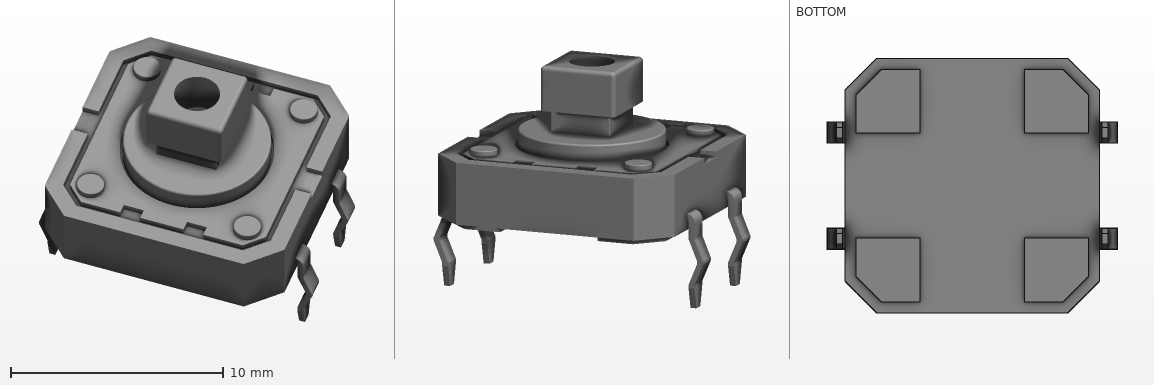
import cadquery as cq
import math


body_side = 12.0
body_height = 3.0
body_chamfer = 1.5
rim_width = 0.8
recess_depth = 0.3
rim_gap_width = 1.5

cover_clearance = 0.3
cover_hole_diameter = 7.28
cover_notch_width = 1.0
cover_notch_depth = 0.5
cover_notch_offset = 1.58

rivet_diameter = 1.3
rivet_offset = 3.92
rivet_top = 3.3
rivet_fillet = 0.05

disc_diameter = 7.0
disc_top = 3.77
disc_fillet = 0.1
neck_side = 3.0
neck_corner_radius = 0.05
cap_side = 3.8
cap_bottom = 4.85
cap_top = 7.0
cap_fillet = 0.2
cap_hole_diameter = 2.17

foot_inset = 0.53
foot_length = 3.0
foot_height = 0.3

pin_width = 1.0
pin_thickness = 0.3
pin_offset = 2.5
pin_root_top = 0.8
pin_bend_radius = 0.43
pin_outer_x = 6.4
pin_span = 13.67
pin_kink_start = -0.43
pin_kink_end = -2.63
pin_kink_flat = 0.13
pin_taper_start = -2.8
pin_tip_width = 0.5
pin_bottom = -3.8

half_body = body_side / 2
pin_reach = pin_span / 2
recess_floor = body_height - recess_depth


def inset_octagon(inset, bottom, height):
    """Prism with the housing outline moved inwards by the inset."""
    side = body_side - 2 * inset
    chamfer = body_chamfer - inset * (2 - math.sqrt(2))
    prism = cq.Workplane("XY").workplane(offset=bottom).rect(side, side).extrude(height)
    return prism.edges("|Z").chamfer(chamfer)


def centred_box(x_size, y_size, bottom, top):
    """Box centred on the Z axis between two heights."""
    return cq.Workplane("XY").workplane(offset=bottom).rect(x_size, y_size).extrude(top - bottom)


def make_housing():
    housing = inset_octagon(0, 0, body_height)
    recess = inset_octagon(rim_width, recess_floor, recess_depth)
    rim_gap = centred_box(body_side, rim_gap_width, recess_floor, body_height)
    return housing.cut(recess).cut(rim_gap)


def make_cover():
    inset = rim_width + cover_clearance
    cover_edge = half_body - inset
    cover = inset_octagon(inset, recess_floor, recess_depth)
    hole = cq.Workplane("XY").workplane(offset=recess_floor).circle(cover_hole_diameter / 2)
    notch_centres = [
        (x_sign * cover_notch_offset, y_sign * cover_edge) for x_sign in (-1, 1) for y_sign in (-1, 1)
    ]
    notches = (
        cq.Workplane("XY")
        .workplane(offset=recess_floor)
        .pushPoints(notch_centres)
        .rect(cover_notch_width, 2 * cover_notch_depth)
    )
    return cover.cut(hole.extrude(recess_depth)).cut(notches.extrude(recess_depth))


def make_rivets():
    return (
        cq.Workplane("XY")
        .workplane(offset=recess_floor)
        .rect(2 * rivet_offset, 2 * rivet_offset, forConstruction=True)
        .vertices()
        .circle(rivet_diameter / 2)
        .extrude(rivet_top - recess_floor)
        .faces(">Z")
        .edges()
        .fillet(rivet_fillet)
    )


def make_button():
    disc = cq.Workplane("XY").workplane(offset=recess_floor).circle(disc_diameter / 2)
    disc = disc.extrude(disc_top - recess_floor).faces(">Z").edges().fillet(disc_fillet)
    neck = centred_box(neck_side, neck_side, disc_top, cap_bottom)
    neck = neck.edges("|Z").fillet(neck_corner_radius)
    cap = centred_box(cap_side, cap_side, cap_bottom, cap_top)
    cap = cap.edges("|Z or >Z").fillet(cap_fillet)
    hole = cq.Workplane("XY").workplane(offset=cap_bottom).circle(cap_hole_diameter / 2)
    cap = cap.cut(hole.extrude(cap_top - cap_bottom))
    return disc.union(neck).union(cap)


def make_feet():
    feet = inset_octagon(foot_inset, -foot_height, foot_height)
    clear_width = body_side - 2 * (foot_inset + foot_length)
    feet = feet.cut(centred_box(body_side, clear_width, -foot_height, 0))
    return feet.cut(centred_box(clear_width, body_side, -foot_height, 0))


def make_pin():
    """Terminal on the +X side, centred on y = 0."""
    outer_x = pin_outer_x
    bend_x = outer_x - pin_bend_radius
    inner_x = outer_x - pin_thickness
    bend_z = pin_root_top - pin_bend_radius
    inner_radius = pin_bend_radius - pin_thickness
    apex_z = (pin_kink_start + pin_kink_end) / 2
    apex_top = apex_z + pin_kink_flat / 2
    apex_bottom = apex_z - pin_kink_flat / 2

    inner_reach = pin_reach - pin_thickness

    diagonal = math.sqrt(0.5)
    strip = (
        cq.Workplane("XZ")
        .moveTo(bend_x, pin_root_top)
        .threePointArc(
            (bend_x + pin_bend_radius * diagonal, bend_z + pin_bend_radius * diagonal),
            (outer_x, bend_z),
        )
        .lineTo(outer_x, pin_kink_start)
        .lineTo(pin_reach, apex_top)
        .lineTo(pin_reach, apex_bottom)
        .lineTo(outer_x, pin_kink_end)
        .lineTo(outer_x, pin_bottom)
        .lineTo(inner_x, pin_bottom)
        .lineTo(inner_x, pin_kink_end)
        .lineTo(inner_reach, apex_bottom)
        .lineTo(inner_reach, apex_top)
        .lineTo(inner_x, pin_kink_start)
        .lineTo(inner_x, bend_z)
        .threePointArc(
            (bend_x + inner_radius * diagonal, bend_z + inner_radius * diagonal),
            (bend_x, bend_z + inner_radius),
        )
        .close()
        .extrude(pin_width / 2, both=True)
    )
    tapered_outline = (
        cq.Workplane("YZ")
        .moveTo(-pin_width / 2, pin_root_top)
        .lineTo(pin_width / 2, pin_root_top)
        .lineTo(pin_width / 2, pin_taper_start)
        .lineTo(pin_tip_width / 2, pin_bottom)
        .lineTo(-pin_tip_width / 2, pin_bottom)
        .lineTo(-pin_width / 2, pin_taper_start)
        .close()
        .extrude(body_side)
    )
    return strip.intersect(tapered_outline)


result = make_housing()
for piece in (make_cover(), make_rivets(), make_button(), make_feet()):
    result = result.union(piece)

right_pin = make_pin()
left_pin = right_pin.mirror("YZ")
for pin_y in (-pin_offset, pin_offset):
    for pin in (right_pin, left_pin):
        result = result.union(pin.translate((0, pin_y, 0)))